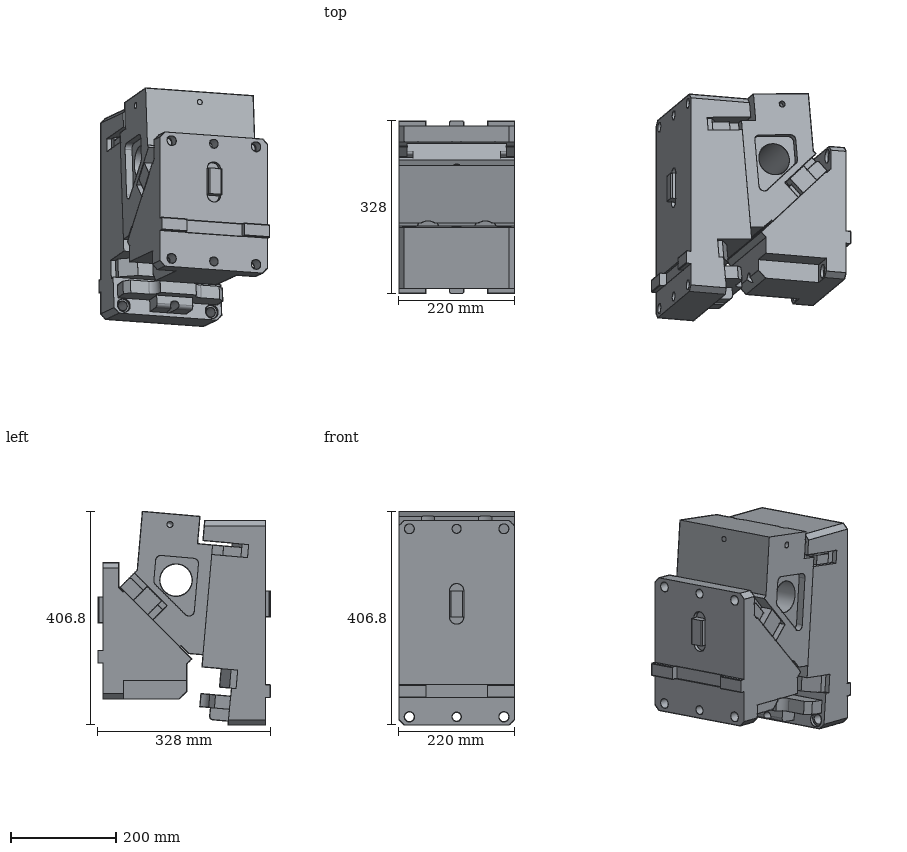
import cadquery as cq
import math

WIDTH = 220.0
HALF_WIDTH = WIDTH / 2
OVERALL_DEPTH = 328.0
KEY_PROTRUSION = 9.5
PLATE_Y = OVERALL_DEPTH / 2 - KEY_PROTRUSION
CORNER_CHAMFER = 10.0
CLEARANCE = 20.5

LEAN = math.radians(5)
JOINT_Y = -52.5
JOINT_Z = 324.5

RAIL_Y = 121.5
RAIL_Z = 262.3
DIAGONAL = math.sqrt(0.5)

FRONT_HEIGHT = 389.0
NOSE_OVERHANG = 19.0
SLOT_HEIGHT = 25.0
SLOT_DEPTH = 55.5
SIDE_POCKET_DEPTH = 68.5
SIDE_POCKET_X = 100.5
WEDGE_DEPTH = 36.5
WEDGE_X = 68.0
RELIEF_TOP = 214.5
RELIEF_BOTTOM = 250.0
LOWER_FACE_DEPTH = 59.5

LATCH_TOP = 265.0
LATCH_BOTTOM = 290.5
LATCH_X = 101.5
LATCH_NOSE_X = 36.5
LATCH_NOSE_DEPTH = 2.5
LATCH_SHOULDER_DEPTH = 19.5
LATCH_BEVEL = 11.0
LATCH_FILLET = 16.3
FOOT_DEPTH = 22.8
FOOT_BOTTOM = 313.0
FOOT_RADIUS = 7.0

CARRIER_TOP = 70.5
CARRIER_REAR = 138.5
CARRIER_BOTTOM = 191.5
SHOULDER_RISE = 18.3
UPPER_FACE = 28.5
RAIL_END_HEIGHT = 45.5
REAR_RELIEF_START = 160.0
REAR_RELIEF = 3.0

TONGUE_NECK_X = 91.0
TONGUE_NECK_LENGTH = 21.0

RAIL_LENGTH = 88.0
RAIL_HEAD_X = 94.5
RAIL_NECK_X = 83.5
RAIL_HEAD_HEIGHT = 27.0
RAIL_HEIGHT = 38.2
RAIL_ROUND = 5.0

BORE_DIAMETER = 61.0
BORE_DEPTH = 63.5
BORE_DROP = 54.5
PANEL_DEPTH = 14.2
PANEL_FRONT = 23.5
PANEL_REAR = 105.5
PANEL_TOP = 10.0
PANEL_RAIL_HEIGHT = 51.0
PANEL_RADIUS = 10.0

SCREW_POCKET_DIAMETER = 42.5
SCREW_POCKET_X = 54.5
SCREW_POCKET_SETBACK = 11.5
SCREW_POCKET_SINK = 2.0
SIDE_DRILL_DIAMETER = 11.5
REAR_DRILL_DIAMETER = 10.0
DRILL_DEPTH = 12.0
DRILL_SETBACK = 84.0
DRILL_RISE = 50.0

REAR_BOTTOM = 49.5
REAR_TOP = 309.0
REAR_PLATE_THICKNESS = 30.5
LEAD_IN_LENGTH = 9.8
LEAD_IN = 2.0
TIP_Y = -14.5
TIP_SIDE = 13.5
SIDE_BOTTOM = 85.0
SIDE_RECESS_Y = 115.0
CORE_HALF_WIDTH = 62.0
CORE_CHAMFER = 14.5
CLAW_START = 35.5
CLAW_END = 74.0
CLAW_INSET = 1.0

HOLE_EDGE_DISTANCE = 16.0
FRONT_SIDE_HOLE_X = 90.0
REAR_SIDE_HOLE_X = 86.0
SIDE_HOLE_DIAMETER = 18.5
CENTRE_HOLE_DIAMETER = 17.0
COUNTERBORE_DIAMETER = 26.0
COUNTERBORE_DEPTH = 6.0

KEY_WIDTH = 27.2
KEY_HEIGHT = 49.5
KEY_CHAMFER = 2.5
KEYWAY_LENGTH = 77.3
KEYWAY_DEPTH = 8.0
FRONT_KEY_Z = 230.5
REAR_KEY_Z = 219.0
STOP_WIDTH = 51.2
STOP_HEIGHT = 24.5
STOP_CHAMFER = 1.2
STOP_GROOVE_DEPTH = 4.0
FRONT_STOP_Z = 64.5
REAR_STOP_Z = 130.0


def joint(depth, drop):
    """(Y, Z) of a point in the front joint: depth toward -Y, drop down the joint face."""
    y = JOINT_Y - depth * math.cos(LEAN) + drop * math.sin(LEAN)
    z = JOINT_Z - depth * math.sin(LEAN) - drop * math.cos(LEAN)
    return y, z


def rail(along, height):
    """(Y, Z) of a point in the rear joint: along the 45 degree face, height above it."""
    y = RAIL_Y - (along + height) * DIAGONAL
    z = RAIL_Z + (height - along) * DIAGONAL
    return y, z


def side_prism(points, x_start, x_end):
    """Extrude a (Y, Z) outline along X."""
    return cq.Workplane("YZ", origin=(x_start, 0, 0)).polyline(points).close().extrude(x_end - x_start)


def full_width(points):
    return side_prism(points, -HALF_WIDTH, HALF_WIDTH)


def both_sides(body):
    """A feature on the +X side together with its mirror image."""
    return body.union(body.mirror("YZ"))


def joint_plane(drop):
    """Plane across the front joint: local x is X, local y is the depth."""
    y, z = joint(0, drop)
    return cq.Plane(origin=(0, y, z), xDir=(1, 0, 0), normal=(0, math.sin(LEAN), -math.cos(LEAN)))


def joint_prism(half_outline, drop_start, drop_end):
    """Extrude an (X, depth) outline, given for +X and mirrored, down the front joint."""
    mirrored = [(-x, depth) for x, depth in reversed(half_outline)]
    outline = cq.Workplane(joint_plane(drop_start)).polyline(half_outline + mirrored).close()
    return outline.extrude(drop_end - drop_start)


def plate_envelope(bottom, top):
    """Rectangle in X and Z with chamfered corners, running along Y."""
    block = cq.Workplane("XY").box(WIDTH, OVERALL_DEPTH, top - bottom)
    return block.edges("|Y").chamfer(CORNER_CHAMFER).translate((0, 0, (bottom + top) / 2))


def y_cylinder(diameter, x, z, y_start, y_end):
    """Cylinder along Y."""
    plane = cq.Plane(origin=(x, y_start, z), xDir=(1, 0, 0), normal=(0, 1, 0))
    return cq.Workplane(plane).circle(diameter / 2).extrude(y_end - y_start)


def drill_mounting_row(block, z, inner_y, side, side_hole_x):
    """Three holes along Y; the outer two are counterbored from the inner face."""
    for x, diameter in ((-side_hole_x, SIDE_HOLE_DIAMETER), (0, CENTRE_HOLE_DIAMETER),
                        (side_hole_x, SIDE_HOLE_DIAMETER)):
        block = block.cut(y_cylinder(diameter, x, z, side * OVERALL_DEPTH / 2, -side * OVERALL_DEPTH / 2))
    for x in (-side_hole_x, side_hole_x):
        floor_y = inner_y + side * COUNTERBORE_DEPTH
        block = block.cut(y_cylinder(COUNTERBORE_DIAMETER, x, z, floor_y, -side * OVERALL_DEPTH / 2))
    return block


def outward_box(width, height, sunk, proud, x, z, side):
    """Box on a mounting face, reaching from sunk below it to proud above it."""
    y = side * (PLATE_Y + (proud - sunk) / 2)
    return cq.Workplane("XY").box(width, sunk + proud, height).translate((x, y, z))


def add_key(block, z, side):
    """Centre key standing in a longer round-ended keyway."""
    keyway_plane = cq.Plane(origin=(0, side * PLATE_Y, z), xDir=(1, 0, 0), normal=(0, -side, 0))
    keyway = cq.Workplane(keyway_plane).slot2D(KEYWAY_LENGTH, KEY_WIDTH, 90).extrude(KEYWAY_DEPTH)
    key = outward_box(KEY_WIDTH, KEY_HEIGHT, KEYWAY_DEPTH, KEY_PROTRUSION, 0, z, side)
    outer_face = ">Y" if side > 0 else "<Y"
    key = key.faces(outer_face).edges("|Z").chamfer(KEY_CHAMFER)
    return block.cut(keyway).union(key)


def add_stops(block, z, side):
    """Two side stops seated in a groove that crosses the mounting face."""
    block = block.cut(outward_box(WIDTH, STOP_HEIGHT, STOP_GROOVE_DEPTH, 0, 0, z, side))
    outer_face = ">Y" if side > 0 else "<Y"
    for hand in (-1, 1):
        x = hand * (HALF_WIDTH - STOP_WIDTH / 2)
        stop = outward_box(STOP_WIDTH, STOP_HEIGHT, STOP_GROOVE_DEPTH, KEY_PROTRUSION, x, z, side)
        block = block.union(stop.faces(outer_face).edges("|X").chamfer(STOP_CHAMFER))
    return block


def front_latch():
    """Latch with a narrow nose at the foot of the front block, and the foot below it."""
    neck_x = LATCH_X - LATCH_BEVEL
    root = LATCH_SHOULDER_DEPTH - LATCH_FILLET
    bevel_end = LATCH_SHOULDER_DEPTH + LATCH_BEVEL
    bend = LATCH_FILLET * (1 - DIAGONAL)
    half = (
        cq.Workplane(joint_plane(LATCH_TOP))
        .moveTo(0, LATCH_NOSE_DEPTH)
        .lineTo(LATCH_NOSE_X, LATCH_NOSE_DEPTH)
        .lineTo(LATCH_NOSE_X, root)
        .threePointArc((LATCH_NOSE_X + bend, LATCH_SHOULDER_DEPTH - bend),
                       (LATCH_NOSE_X + LATCH_FILLET, LATCH_SHOULDER_DEPTH))
        .lineTo(neck_x, LATCH_SHOULDER_DEPTH)
        .lineTo(LATCH_X, bevel_end)
        .lineTo(LATCH_X, LOWER_FACE_DEPTH)
        .lineTo(0, LOWER_FACE_DEPTH)
        .close()
        .extrude(LATCH_BOTTOM - LATCH_TOP)
    )
    foot_outline = [joint(FOOT_DEPTH, LATCH_BOTTOM), joint(LOWER_FACE_DEPTH, LATCH_BOTTOM),
                    joint(LOWER_FACE_DEPTH, FOOT_BOTTOM), joint(FOOT_DEPTH, FOOT_BOTTOM)]
    foot = side_prism(foot_outline, -LATCH_NOSE_X, LATCH_NOSE_X)
    corner = cq.selectors.NearestToPointSelector((0, *joint(FOOT_DEPTH, FOOT_BOTTOM)))
    foot = foot.edges(corner).fillet(FOOT_RADIUS)
    return both_sides(half).union(foot)


def make_front_block():
    outline = [
        (-PLATE_Y, 0),
        (-PLATE_Y, FRONT_HEIGHT),
        joint(-NOSE_OVERHANG, JOINT_Z - FRONT_HEIGHT),
        joint(-NOSE_OVERHANG, -SLOT_HEIGHT),
        joint(0, -SLOT_HEIGHT),
        joint(0, RELIEF_BOTTOM),
        joint(LOWER_FACE_DEPTH, RELIEF_BOTTOM),
        (joint(LOWER_FACE_DEPTH, JOINT_Z)[0], 0),
    ]
    block = full_width(outline).intersect(plate_envelope(0, FRONT_HEIGHT))

    recess = [
        (HALF_WIDTH, -CLEARANCE),
        (HALF_WIDTH, SIDE_POCKET_DEPTH),
        (SIDE_POCKET_X, SIDE_POCKET_DEPTH),
        (SIDE_POCKET_X, SLOT_DEPTH),
        (WEDGE_X, WEDGE_DEPTH),
    ]
    block = block.cut(joint_prism(recess, -SLOT_HEIGHT, 0))
    block = block.cut(joint_prism(recess, RELIEF_TOP, RELIEF_BOTTOM))
    block = block.union(front_latch())

    top_row = FRONT_HEIGHT - HOLE_EDGE_DISTANCE
    nose_y = joint(-NOSE_OVERHANG, JOINT_Z - top_row)[0]
    lower_y = joint(LOWER_FACE_DEPTH, JOINT_Z - HOLE_EDGE_DISTANCE)[0]
    block = drill_mounting_row(block, top_row, nose_y, -1, FRONT_SIDE_HOLE_X)
    block = drill_mounting_row(block, HOLE_EDGE_DISTANCE, lower_y, -1, FRONT_SIDE_HOLE_X)
    block = add_stops(block, FRONT_STOP_Z, -1)
    return add_key(block, FRONT_KEY_Z, -1)


def carrier_tongue():
    """T-shaped tongue that reaches to the wedge at the end of the slot."""
    half_outline = [
        (TONGUE_NECK_X, 0),
        (TONGUE_NECK_X, TONGUE_NECK_LENGTH),
        (SIDE_POCKET_X, TONGUE_NECK_LENGTH),
        (SIDE_POCKET_X, SLOT_DEPTH),
        (WEDGE_X, WEDGE_DEPTH),
    ]
    return joint_prism(half_outline, -SHOULDER_RISE, 0)


def rail_cuts():
    """Side cuts that leave a T-shaped rail along the rear joint face."""
    head_outline = [rail(-CLEARANCE, 0), rail(RAIL_LENGTH, 0),
                    rail(RAIL_LENGTH, RAIL_HEIGHT), rail(-CLEARANCE, RAIL_HEIGHT)]
    head_side = side_prism(head_outline, RAIL_HEAD_X, HALF_WIDTH)
    rounding = RAIL_ROUND * (1 - DIAGONAL)
    neck_side = (
        cq.Workplane("YZ", origin=(RAIL_NECK_X, 0, 0))
        .moveTo(*rail(-CLEARANCE, RAIL_HEIGHT))
        .lineTo(*rail(RAIL_LENGTH, RAIL_HEIGHT))
        .lineTo(*rail(RAIL_LENGTH, RAIL_HEAD_HEIGHT))
        .lineTo(*rail(RAIL_ROUND, RAIL_HEAD_HEIGHT))
        .threePointArc(rail(rounding, RAIL_HEAD_HEIGHT - rounding), rail(0, RAIL_HEAD_HEIGHT - RAIL_ROUND))
        .lineTo(*rail(-CLEARANCE, RAIL_HEAD_HEIGHT - RAIL_ROUND))
        .close()
        .extrude(HALF_WIDTH - RAIL_NECK_X)
    )
    return both_sides(head_side.union(neck_side))


def panel_drop(depth):
    """Drop at which a line of constant depth meets the sloping side of the panel."""
    y, z = joint(depth, 0)
    target = RAIL_Z - RAIL_Y + PANEL_RAIL_HEIGHT / DIAGONAL
    return (z - y - target) / (math.cos(LEAN) + math.sin(LEAN))


def side_panels():
    """Shallow four-sided pockets around the bore, one in each side."""
    outline = [
        joint(-PANEL_REAR, PANEL_TOP),
        joint(-PANEL_FRONT, PANEL_TOP),
        joint(-PANEL_FRONT, panel_drop(-PANEL_FRONT)),
        joint(-PANEL_REAR, panel_drop(-PANEL_REAR)),
    ]
    panel = side_prism(outline, HALF_WIDTH - PANEL_DEPTH, HALF_WIDTH)
    return both_sides(panel.edges("|X").fillet(PANEL_RADIUS))


def blind_drill(plane, diameter):
    """Blind hole with a 90 degree drill point, sunk along the local y axis of a plane."""
    radius = diameter / 2
    half_section = [(0, 0), (radius, 0), (radius, DRILL_DEPTH), (0, DRILL_DEPTH + radius)]
    return cq.Workplane(plane).polyline(half_section).close().revolve(360, (0, 0, 0), (0, 1, 0))


def top_drills():
    """Blind holes near the top: one in each side and one in the rear face."""
    side_y, side_z = joint(-DRILL_SETBACK, -DRILL_RISE)
    side_plane = cq.Plane(origin=(HALF_WIDTH, side_y, side_z), xDir=(0, 1, 0), normal=(0, 0, 1))
    rear_y, rear_z = joint(-CARRIER_REAR, -DRILL_RISE)
    rear_plane = cq.Plane(origin=(0, rear_y, rear_z), xDir=(1, 0, 0),
                          normal=(0, math.sin(LEAN), -math.cos(LEAN)))
    side_drills = both_sides(blind_drill(side_plane, SIDE_DRILL_DIAMETER))
    return side_drills.union(blind_drill(rear_plane, REAR_DRILL_DIAMETER))


def screw_pockets():
    """Round pockets sunk into the shoulder and the face above it."""
    return (
        cq.Workplane(joint_plane(-CARRIER_TOP))
        .pushPoints([(hand * SCREW_POCKET_X, -SCREW_POCKET_SETBACK) for hand in (-1, 1)])
        .circle(SCREW_POCKET_DIAMETER / 2)
        .extrude(CARRIER_TOP - SHOULDER_RISE + SCREW_POCKET_SINK)
    )


def make_carrier():
    toe_y, toe_z = joint(0, CARRIER_BOTTOM)
    relief_level = RAIL_Z - RAIL_Y + REAR_RELIEF / DIAGONAL
    underside = (toe_z - toe_y - relief_level) / (math.cos(LEAN) - math.sin(LEAN))
    outline = [
        joint(-CARRIER_REAR, -CARRIER_TOP),
        joint(-UPPER_FACE, -CARRIER_TOP),
        joint(-UPPER_FACE, -SHOULDER_RISE),
        joint(0, -SHOULDER_RISE),
        (toe_y, toe_z),
        joint(-underside, CARRIER_BOTTOM),
        rail(REAR_RELIEF_START, REAR_RELIEF),
        rail(REAR_RELIEF_START, 0),
        rail(0, 0),
        rail(0, RAIL_END_HEIGHT),
    ]
    bore_y, bore_z = joint(-BORE_DEPTH, BORE_DROP)
    bore = (
        cq.Workplane("YZ", origin=(-HALF_WIDTH, bore_y, bore_z))
        .circle(BORE_DIAMETER / 2)
        .extrude(WIDTH)
    )
    body = full_width(outline).union(carrier_tongue())
    for cutter in (rail_cuts(), side_panels(), bore, top_drills(), screw_pockets()):
        body = body.cut(cutter)
    return body


def rear_claws():
    """Claws that reach around the head of the rail."""
    top = RAIL_HEIGHT - CLAW_INSET
    outer_x = HALF_WIDTH - CLAW_INSET
    post_outline = [rail(CLAW_START, 0), rail(CLAW_END, 0), rail(CLAW_END, top), rail(CLAW_START, top)]
    lip_outline = [rail(CLAW_START, RAIL_HEAD_HEIGHT), rail(CLAW_END, RAIL_HEAD_HEIGHT),
                   rail(CLAW_END, top), rail(CLAW_START, top)]
    post = side_prism(post_outline, RAIL_HEAD_X, outer_x)
    lip = side_prism(lip_outline, RAIL_NECK_X, outer_x)
    return both_sides(post.union(lip))


def make_rear_block():
    plate_inner_y = PLATE_Y - REAR_PLATE_THICKNESS
    face_level = RAIL_Z - RAIL_Y
    lead_in_level = face_level - LEAD_IN / DIAGONAL
    tip_z = face_level + TIP_Y
    tip_step = TIP_SIDE * DIAGONAL
    core_y = TIP_Y + tip_step
    outline = [
        (PLATE_Y, REAR_BOTTOM),
        (PLATE_Y, REAR_TOP),
        (plate_inner_y, REAR_TOP),
        (plate_inner_y, lead_in_level + plate_inner_y),
        rail(LEAD_IN_LENGTH, -LEAD_IN),
        rail(LEAD_IN_LENGTH, 0),
        (TIP_Y, tip_z),
        (core_y, tip_z - tip_step),
        (core_y, REAR_BOTTOM + CORE_CHAMFER),
        (core_y + CORE_CHAMFER, REAR_BOTTOM),
    ]
    block = full_width(outline).intersect(plate_envelope(REAR_BOTTOM, REAR_TOP))

    recess_outline = [(SIDE_RECESS_Y, REAR_BOTTOM), (SIDE_RECESS_Y, SIDE_BOTTOM),
                      (core_y, SIDE_BOTTOM), (core_y, REAR_BOTTOM)]
    block = block.cut(both_sides(side_prism(recess_outline, CORE_HALF_WIDTH, HALF_WIDTH)))
    block = block.union(rear_claws())

    block = drill_mounting_row(block, REAR_TOP - HOLE_EDGE_DISTANCE, plate_inner_y, 1, REAR_SIDE_HOLE_X)
    block = drill_mounting_row(block, REAR_BOTTOM + HOLE_EDGE_DISTANCE, SIDE_RECESS_Y, 1, REAR_SIDE_HOLE_X)
    block = add_stops(block, REAR_STOP_Z, 1)
    return add_key(block, REAR_KEY_Z, 1)


front_block = make_front_block()
carrier = make_carrier()
rear_block = make_rear_block()

result = cq.Compound.makeCompound([body.solids().val() for body in (front_block, carrier, rear_block)])